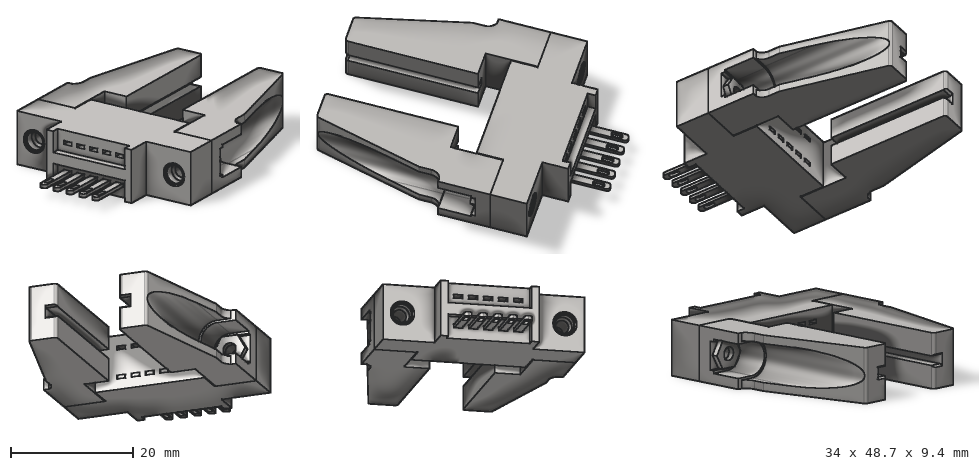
import cadquery as cq
import math

total_width = 33.95
total_length = 48.7
thickness = 9.4
half_width = total_width / 2

neck_front_y = 6.25
ear_front_y = 10.65
seam_y = 16.95
block_back_y = 21.5
shoulder_y = 25.9
taper_start_y = 29.75

neck_width = 16.6
assembly_gap = 0.15
recess_width = 14.0
recess_depth = 1.35
web_thickness = 1.95

contact_count = 5
contact_pitch = 2.55
row_offset = 2.55
cavity_width = 1.5
contact_thickness = 0.65
contact_width = 1.25
contact_tip_radius = 0.55
eye_width = 0.85
eye_length = 1.95
eye_centre_y = 2.0

arm_inner_x = 5.5
arm_root_inner_x = 9.8
arm_outer_x = 15.05
tip_outer_x = 10.35
tip_radius = 0.55
hollow_radius = 2.0
hollow_height = 1.75
card_slot_height = 1.6
card_slot_depth = 2.05
lead_in_length = 0.5
lead_in_rise = 0.3

screw_x = 13.7
access_radius = 3.25
channel_radius = 2.85
channel_end_y = 20.25
nut_seat_y = 19.52
nut_height = 1.0
nut_across_flats = 4.8
screw_hole_radius = 1.1
counterbore_radius = 1.55
counterbore_depth = 1.75
counterbore_chamfer = 0.15
spotface_radius = 2.0
spotface_depth = 0.2

nut_corner_diameter = nut_across_flats / math.cos(math.pi / 6)
block_width = 2 * (arm_root_inner_x - assembly_gap)
contact_xs = [(i - (contact_count - 1) / 2) * contact_pitch for i in range(contact_count)]


def box(x0, x1, y0, y1, z0, z1):
    """Axis-aligned box between two opposite corners."""
    return cq.Workplane("XY").box(x1 - x0, y1 - y0, z1 - z0, centered=False).translate((x0, y0, z0))


def centred_box(width, y0, y1, height, z=0.0):
    """Box centred on X = 0 and on the height z."""
    return box(-width / 2, width / 2, y0, y1, z - height / 2, z + height / 2)


def rod(x, y0, y1, radius):
    """Cylinder along Y at height Z = 0."""
    return cq.Workplane("XZ", origin=(x, y0, 0)).circle(radius).extrude(y0 - y1)


def side_channel(y0, y1, radius):
    """Round-bottomed channel along Y, open towards the +X side."""
    mouth = box(screw_x, total_width, y0, y1, -radius, radius)
    return rod(screw_x, y0, y1, radius).union(mouth)


def make_screw_hole(x):
    """Spotface, chamfered counterbore with a conical floor and clearance hole, as one turned cutter."""
    spotface_y = ear_front_y + spotface_depth
    counterbore_floor_y = ear_front_y + counterbore_depth
    cone_depth = counterbore_radius - screw_hole_radius
    return (
        cq.Workplane("XY")
        .moveTo(0, ear_front_y)
        .lineTo(spotface_radius, ear_front_y)
        .lineTo(spotface_radius, spotface_y)
        .lineTo(counterbore_radius + counterbore_chamfer, spotface_y)
        .lineTo(counterbore_radius, spotface_y + counterbore_chamfer)
        .lineTo(counterbore_radius, counterbore_floor_y)
        .lineTo(screw_hole_radius, counterbore_floor_y + cone_depth)
        .lineTo(screw_hole_radius, seam_y)
        .lineTo(0, seam_y)
        .close()
        .revolve(360, (0, 0, 0), (0, 1, 0))
        .translate((x, 0, 0))
    )


def make_housing():
    """Connector body with a front neck, two ears and a rear block between the arms."""
    body = centred_box(total_width, ear_front_y, seam_y, thickness)
    body = body.union(centred_box(neck_width, neck_front_y, ear_front_y, thickness))
    body = body.union(centred_box(block_width, seam_y, block_back_y, thickness))

    recess_back_y = neck_front_y + recess_depth
    for z0, z1 in ((web_thickness / 2, thickness), (-thickness, -web_thickness / 2)):
        body = body.cut(box(-recess_width / 2, recess_width / 2, neck_front_y, recess_back_y, z0, z1))

    for x in contact_xs:
        for z in (row_offset, -row_offset):
            cavity = centred_box(cavity_width, neck_front_y, block_back_y, contact_thickness, z)
            body = body.cut(cavity.translate((x, 0, 0)))

    for x in (screw_x, -screw_x):
        body = body.cut(make_screw_hole(x))
    return body


def nut_blank():
    """Solid hexagon at the screw line with corners pointing along X."""
    return (
        cq.Workplane("XZ", origin=(screw_x, nut_seat_y, 0))
        .polygon(6, nut_corner_diameter)
        .extrude(-nut_height)
    )


def make_nut():
    """Captive hexagon nut on the +X side."""
    return nut_blank().cut(rod(screw_x, nut_seat_y, nut_seat_y + nut_height, screw_hole_radius))


def make_arm():
    """Guide arm on the +X side."""
    hollow_width = hollow_radius - math.sqrt(hollow_radius**2 - hollow_height**2)
    mid_rise = hollow_height / 2
    mid_x = arm_outer_x + hollow_radius - math.sqrt(hollow_radius**2 - mid_rise**2)
    arm = (
        cq.Workplane("XY", origin=(0, 0, -thickness / 2))
        .moveTo(arm_root_inner_x, seam_y)
        .lineTo(half_width, seam_y)
        .lineTo(half_width, shoulder_y)
        .lineTo(arm_outer_x + hollow_width, shoulder_y)
        .threePointArc((mid_x, shoulder_y + mid_rise), (arm_outer_x, shoulder_y + hollow_height))
        .lineTo(arm_outer_x, taper_start_y)
        .lineTo(tip_outer_x, total_length)
        .lineTo(arm_inner_x, total_length)
        .lineTo(arm_inner_x, shoulder_y)
        .lineTo(arm_root_inner_x, shoulder_y)
        .close()
        .extrude(thickness)
    )
    arm = arm.edges("|Z").edges(">Y").fillet(tip_radius)

    slot_floor_x = arm_inner_x + card_slot_depth
    half_slot = card_slot_height / 2
    half_mouth = half_slot + lead_in_rise
    lead_in_y = total_length - lead_in_length
    card_slot = (
        cq.Workplane("YZ")
        .polyline([
            (shoulder_y, -half_slot),
            (lead_in_y, -half_slot),
            (total_length, -half_mouth),
            (total_length, half_mouth),
            (lead_in_y, half_slot),
            (shoulder_y, half_slot),
        ])
        .close()
        .extrude(slot_floor_x)
    )
    arm = arm.cut(card_slot)

    arm = arm.cut(side_channel(shoulder_y, total_length, access_radius))
    arm = arm.cut(side_channel(channel_end_y, shoulder_y, channel_radius))
    seat_half = nut_across_flats / 2
    arm = arm.cut(nut_blank())
    arm = arm.cut(box(screw_x, total_width, nut_seat_y, channel_end_y, -seat_half, seat_half))
    return arm.cut(rod(screw_x, seam_y, nut_seat_y, screw_hole_radius))


def make_contact(x):
    """Flat contact filling the lower cavity height, with a rounded tip and a solder eye."""
    contact = centred_box(contact_width, 0, block_back_y, contact_thickness, -row_offset)
    contact = contact.edges("|Z").edges("<Y").fillet(contact_tip_radius)
    eye = (
        cq.Workplane("XY", origin=(0, eye_centre_y, -row_offset - contact_thickness / 2))
        .slot2D(eye_length, eye_width, 90)
        .extrude(contact_thickness)
    )
    return contact.cut(eye).translate((x, 0, 0))


housing = make_housing()
right_arm = make_arm()
left_arm = right_arm.mirror("YZ")
right_nut = make_nut()
left_nut = right_nut.mirror("YZ")
contacts = [make_contact(x) for x in contact_xs]

result = cq.Compound.makeCompound([
    housing.val(),
    right_arm.val(),
    left_arm.val(),
    right_nut.val(),
    left_nut.val(),
    *[contact.val() for contact in contacts],
])